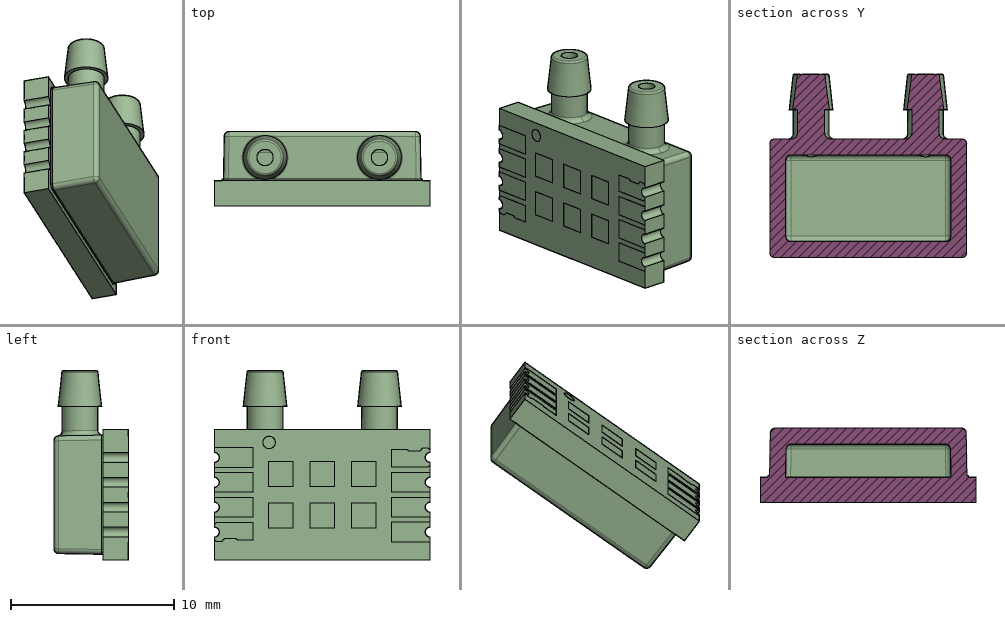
import cadquery as cq
BOARD_WIDTH = 13.21
BOARD_HEIGHT = 8.0
BOARD_BACK_Y = 1.57
BOARD_MID_Z = BOARD_HEIGHT / 2
PAD_THICKNESS = 0.01

NOTCH_RADIUS = 0.3
NOTCH_PITCH = 1.524
NOTCHES_PER_SIDE = 4

EDGE_PAD_LENGTH = 2.37
EDGE_PAD_HEIGHT = 1.21

CORNER_PAD_INNER_HALF = 0.58
CORNER_PAD_STEP = 0.49
CORNER_PAD_WAIST = 0.39
CORNER_PAD_CHAMFER = 0.13
CORNER_PAD_LOBE_LENGTH = 0.46
CORNER_PAD_WAIST_START = 0.63
CORNER_PAD_WAIST_END = 1.32

CENTRE_PAD_SIZE = 1.52
CENTRE_PAD_PITCH = 2.54
CENTRE_PAD_COLUMNS = 3
CENTRE_PAD_ROWS = 2

MARK_DIAMETER = 0.76
MARK_X = -3.25
MARK_Z = 7.2

CAP_WIDTH = 12.1
CAP_HEIGHT = 7.3
CAP_DEPTH = 3.0
CAP_DRAFT = 1.0
CAP_ROUNDING = 0.3
FOOT_WIDTH = 12.28
FOOT_THICKNESS = 0.09
CAP_WALL = 1.0
CAP_TOP_Z = BOARD_MID_Z + CAP_HEIGHT / 2

PORT_SPACING = 7.0
PORT_Y = 2.98
PORT_DIAMETER = 2.2
PORT_BORE = 1.0
PORT_TOP_Z = 11.6
PORT_ROOT_FILLET = 0.3
BARB_DIAMETER = 2.68
BARB_BOTTOM_Z = 9.4
BARB_TIP_ROUNDING = 0.12


def plane_at(y):
    """XZ workplane at the given Y; negative extrusions go toward +Y."""
    return cq.Workplane(cq.Plane(origin=(0, y, BOARD_MID_Z), xDir=(1, 0, 0), normal=(0, -1, 0)))


def centred_row(count, pitch):
    return [(i - (count - 1) / 2) * pitch for i in range(count)]


NOTCH_OFFSETS = centred_row(NOTCHES_PER_SIDE, NOTCH_PITCH)


def board():
    return plane_at(PAD_THICKNESS).rect(BOARD_WIDTH, BOARD_HEIGHT).extrude(PAD_THICKNESS - BOARD_BACK_Y)


def notches():
    edges = [(side * BOARD_WIDTH / 2, z) for side in (-1, 1) for z in NOTCH_OFFSETS]
    return plane_at(0).pushPoints(edges).circle(NOTCH_RADIUS).extrude(-BOARD_BACK_Y)


def edge_pads():
    """Plain pads at every notch except the lower left and the upper right."""
    pad_x = (BOARD_WIDTH - EDGE_PAD_LENGTH) / 2
    centres = [(-pad_x, z) for z in NOTCH_OFFSETS[1:]] + [(pad_x, z) for z in NOTCH_OFFSETS[:-1]]
    return plane_at(0).pushPoints(centres).rect(EDGE_PAD_LENGTH, EDGE_PAD_HEIGHT).extrude(-PAD_THICKNESS)


def lower_left_pad():
    edge_x = -BOARD_WIDTH / 2
    mid_z = NOTCH_OFFSETS[0]
    shoulder = CORNER_PAD_INNER_HALF - CORNER_PAD_CHAMFER
    step_slope = CORNER_PAD_STEP - CORNER_PAD_WAIST
    offsets = [
        (0, shoulder),
        (CORNER_PAD_CHAMFER, CORNER_PAD_INNER_HALF),
        (EDGE_PAD_LENGTH, CORNER_PAD_INNER_HALF),
        (EDGE_PAD_LENGTH, -CORNER_PAD_STEP),
        (CORNER_PAD_WAIST_END + step_slope, -CORNER_PAD_STEP),
        (CORNER_PAD_WAIST_END, -CORNER_PAD_WAIST),
        (CORNER_PAD_WAIST_START, -CORNER_PAD_WAIST),
        (CORNER_PAD_LOBE_LENGTH, -CORNER_PAD_INNER_HALF),
        (CORNER_PAD_CHAMFER, -CORNER_PAD_INNER_HALF),
        (0, -shoulder),
    ]
    outline = [(edge_x + x, mid_z + z) for x, z in offsets]
    return plane_at(0).polyline(outline).close().extrude(-PAD_THICKNESS)


def corner_pads():
    """The lower left pad and its half-turn copy at the upper right."""
    pad = lower_left_pad()
    return pad.union(pad.rotate((0, 0, BOARD_MID_Z), (0, 1, BOARD_MID_Z), 180))


def centre_pads():
    return (
        plane_at(0)
        .rarray(CENTRE_PAD_PITCH, CENTRE_PAD_PITCH, CENTRE_PAD_COLUMNS, CENTRE_PAD_ROWS)
        .rect(CENTRE_PAD_SIZE, CENTRE_PAD_SIZE)
        .extrude(-PAD_THICKNESS)
    )


def orientation_mark():
    return (
        plane_at(0)
        .center(MARK_X, MARK_Z - BOARD_MID_Z)
        .circle(MARK_DIAMETER / 2)
        .extrude(-PAD_THICKNESS)
    )


def drafted_block(width, height, depth):
    """Block on the back of the board, narrowing toward +Y."""
    back_plane = cq.Plane(origin=(0, BOARD_BACK_Y, BOARD_MID_Z), xDir=(-1, 0, 0), normal=(0, 1, 0))
    block = cq.Workplane(back_plane).rect(width, height).extrude(depth, taper=CAP_DRAFT)
    return block.edges("not <Y").fillet(CAP_ROUNDING)


def foot():
    """Thin rim where the cap sits on the board."""
    rim = plane_at(BOARD_BACK_Y).rect(FOOT_WIDTH, CAP_HEIGHT).extrude(-FOOT_THICKNESS)
    return rim.edges("|Y").fillet(CAP_ROUNDING)


def cap_cavity():
    """Chamber behind the board that both port bores open into."""
    return drafted_block(CAP_WIDTH - 2 * CAP_WALL, CAP_HEIGHT - 2 * CAP_WALL, CAP_DEPTH - CAP_WALL)


def port(x):
    """Barbed hose port turned about its vertical axis, rooted inside the cap wall."""
    radius = PORT_DIAMETER / 2
    root_z = CAP_TOP_Z - CAP_WALL / 2
    body = (
        cq.Workplane("XZ")
        .moveTo(0, root_z)
        .lineTo(radius, root_z)
        .lineTo(radius, BARB_BOTTOM_Z)
        .lineTo(BARB_DIAMETER / 2, BARB_BOTTOM_Z)
        .lineTo(radius, PORT_TOP_Z)
        .lineTo(0, PORT_TOP_Z)
        .close()
        .revolve(360, (0, 0, 0), (0, 1, 0))
    )
    return body.faces(">Z").edges().fillet(BARB_TIP_ROUNDING).translate((x, PORT_Y, 0))


def port_bore(x):
    """Bore from the port tip down into the cavity."""
    depth = PORT_TOP_Z - BOARD_MID_Z
    return cq.Workplane("XY", origin=(x, PORT_Y, BOARD_MID_Z)).circle(PORT_BORE / 2).extrude(depth)


def cap_with_ports():
    """Hollow cap with filleted port roots and bores into its cavity."""
    port_positions = (-PORT_SPACING / 2, PORT_SPACING / 2)
    body = drafted_block(CAP_WIDTH, CAP_HEIGHT, CAP_DEPTH)
    for x in port_positions:
        body = body.union(port(x))
    for x in port_positions:
        reach = PORT_DIAMETER / 2 + PORT_ROOT_FILLET
        root_box = cq.selectors.BoxSelector(
            (x - reach, PORT_Y - reach, CAP_TOP_Z - PORT_ROOT_FILLET),
            (x + reach, PORT_Y + reach, CAP_TOP_Z + PORT_ROOT_FILLET),
            boundingbox=True,
        )
        body = body.edges(root_box).fillet(PORT_ROOT_FILLET)
    body = body.cut(cap_cavity())
    for x in port_positions:
        body = body.cut(port_bore(x))
    return body


result = board()
for pads in (edge_pads(), corner_pads(), centre_pads(), orientation_mark()):
    result = result.union(pads)
result = result.cut(notches()).union(foot().cut(cap_cavity())).union(cap_with_ports())